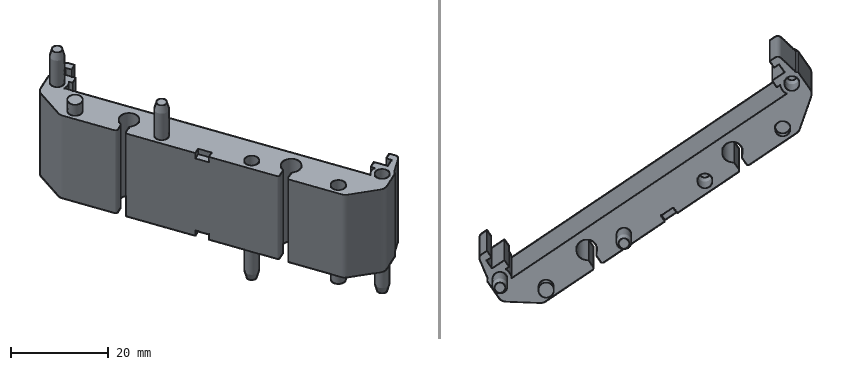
import cadquery as cq
import math

length = 77.0
height = 22.5
bar_depth = 7.9
total_depth = 15.5
half_length = length / 2

slope_start_x = 31.65
slope_end_y = 5.1
corner_radius = 1.9

wall_step_y = 10.25
wall_step = 0.4
tip_x = 37.1
tip_radius = 1.0
lip_x = 34.95
lip_y = 13.85
groove_x = 36.2
groove_y = 11.85
shelf_x = 33.1
shelf_y = 10.2
boss_radius = 2.4

keyhole_x = 18.0
keyhole_y = 4.15
keyhole_radius = 2.12
slot_width = 1.85
mouth_radius = 0.5

notch_width = 3.0
notch_size = 1.5

pin_diameter = 3.1
pin_length = 9.0
pin_tip_diameter = 2.15
pin_taper_length = 1.85
peg_diameter = 3.15
peg_length = 3.0
end_pin_x = 36.1
end_pin_y = 9.1
peg_x = 29.25
inner_pin_x = 10.0
front_row_y = 2.4


def round_vertical_edge(solid, x, y, radius):
    """Round the full-height edge that stands at (x, y)."""
    return solid.edges(cq.NearestToPointSelector((x, y, 0))).fillet(radius)


def boss_x(y):
    """X of the rounded inner wall, concentric with the end pin."""
    return end_pin_x - math.sqrt(boss_radius**2 - (y - end_pin_y) ** 2)


def make_half_body():
    """The +X half of the bar with its hooked end wall."""
    half = (
        cq.Workplane("XY", origin=(0, 0, -height / 2))
        .lineTo(slope_start_x, 0)
        .lineTo(half_length, slope_end_y)
        .lineTo(half_length, wall_step_y)
        .lineTo(half_length - wall_step, wall_step_y + wall_step)
        .lineTo(tip_x, total_depth)
        .lineTo(lip_x, total_depth)
        .lineTo(lip_x, lip_y)
        .lineTo(groove_x, lip_y)
        .lineTo(groove_x, groove_y)
        .lineTo(shelf_x, groove_y)
        .lineTo(shelf_x, shelf_y)
        .lineTo(boss_x(shelf_y), shelf_y)
        .threePointArc((end_pin_x - boss_radius, end_pin_y), (boss_x(bar_depth), bar_depth))
        .lineTo(0, bar_depth)
        .close()
        .extrude(height)
    )
    half = round_vertical_edge(half, slope_start_x, 0, corner_radius)
    half = round_vertical_edge(half, half_length, slope_end_y, corner_radius)
    return round_vertical_edge(half, tip_x, total_depth, tip_radius)


def cut_keyhole(half):
    """Round bore joined to the front face by a slot with 45 degree flanks."""
    half_slot = slot_width / 2
    flank = keyhole_radius * math.sqrt(0.5)
    flank_y = keyhole_y - flank
    slot_top_y = flank_y - (flank - half_slot)
    keyhole = (
        cq.Workplane("XY", origin=(keyhole_x, 0, -height / 2))
        .moveTo(-half_slot, 0)
        .lineTo(-half_slot, slot_top_y)
        .lineTo(-flank, flank_y)
        .threePointArc((0, keyhole_y + keyhole_radius), (flank, flank_y))
        .lineTo(half_slot, slot_top_y)
        .lineTo(half_slot, 0)
        .close()
        .extrude(height)
    )
    half = half.cut(keyhole)
    for side in (-1, 1):
        half = round_vertical_edge(half, keyhole_x + side * half_slot, 0, mouth_radius)
    return half


def cut_notches(body):
    """One square notch at the top and one at the bottom of the front face."""
    for side in (-1, 1):
        notch = cq.Workplane("XY").box(notch_width, 2 * notch_size, 2 * notch_size)
        body = body.cut(notch.translate((0, 0, side * height / 2)))
    return body


def make_pin():
    """Round pin along +Z with a tapered tip, standing on Z = 0."""
    return (
        cq.Workplane("XZ")
        .lineTo(pin_diameter / 2, 0)
        .lineTo(pin_diameter / 2, pin_length - pin_taper_length)
        .lineTo(pin_tip_diameter / 2, pin_length)
        .lineTo(0, pin_length)
        .close()
        .revolve(360, (0, 0), (0, 1))
    )


def make_plug_set():
    """Two pins and a peg on the -X half, standing on Z = 0."""
    peg = cq.Workplane("XY").circle(peg_diameter / 2).extrude(peg_length)
    return (
        make_pin().translate((-end_pin_x, end_pin_y, 0))
        .union(make_pin().translate((-inner_pin_x, front_row_y, 0)))
        .union(peg.translate((-peg_x, front_row_y, 0)))
    )


half_body = cut_keyhole(make_half_body())
body = cut_notches(half_body.union(half_body.mirror("YZ")))

top_plugs = make_plug_set().translate((0, 0, height / 2))
bottom_sockets = make_plug_set().translate((0, 0, -height / 2))
half_turn = ((0, 0, 0), (0, 1, 0), 180)
bottom_plugs = top_plugs.rotate(*half_turn)
top_sockets = bottom_sockets.rotate(*half_turn)

result = body.cut(top_sockets).cut(bottom_sockets).union(top_plugs).union(bottom_plugs)